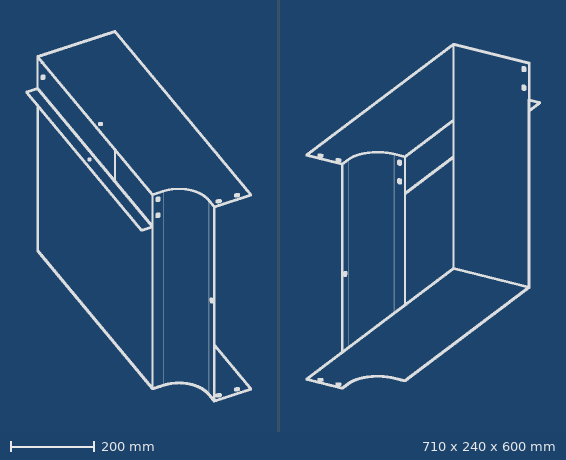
import cadquery as cq

length = 710.0
height = 600.0
depth = 240.0
sheet = 1.0

lip = 30.0
corner_radius = 80.0
front_y = lip
panel_end_x = length - lip - corner_radius
return_end_y = front_y + lip
flange_y = return_end_y + corner_radius

window_height = 99.0
panel_top_z = height - window_height

slot_length = 10.0
slot_width = 6.5
edge_offset = 15.0
side_slot_width = 8.0
first_hole_drop = 20.0
first_slot_offset = 20.0
hole_pitch = 50.0
top_hole_diameter = 7.0
shelf_hole_diameter = 5.0
cut_margin = 7.0


def box(x0, x1, y0, y1, z0, z1):
    return cq.Workplane("XY").box(x1 - x0, y1 - y0, z1 - z0, centered=False).translate((x0, y0, z0))


def plan_prism(inset, z0, z1):
    """Housing plan extruded in Z, with its walls inset and its back and right end left flush."""
    right_x = panel_end_x - inset
    radius = corner_radius + inset
    arc_center = (panel_end_x + corner_radius, return_end_y)
    arc_mid = (arc_center[0] - radius * 0.5**0.5, arc_center[1] + radius * 0.5**0.5)
    return (
        cq.Workplane("XY", origin=(0, 0, z0))
        .moveTo(inset, front_y + inset)
        .lineTo(right_x, front_y + inset)
        .lineTo(right_x, return_end_y)
        .threePointArc(arc_mid, (arc_center[0], flange_y + inset))
        .lineTo(length, flange_y + inset)
        .lineTo(length, depth)
        .lineTo(inset, depth)
        .close()
        .extrude(z1 - z0)
    )


def vertical_hole(x, y, diameter, z):
    return cq.Workplane("XY", origin=(x, y, z - cut_margin)).circle(diameter / 2).extrude(2 * cut_margin)


body = plan_prism(0, 0, height).cut(plan_prism(sheet, sheet, height - sheet))

window = box(
    sheet, panel_end_x - sheet, front_y - cut_margin, front_y + sheet, panel_top_z, height - sheet
)
shelf = box(0, panel_end_x, 0, front_y + sheet, panel_top_z - sheet, panel_top_z)
body = body.cut(window).union(shelf)

for slot_y in (flange_y + first_slot_offset, flange_y + first_slot_offset + hole_pitch):
    slot = (
        cq.Workplane("XY", origin=(length - edge_offset, slot_y, -cut_margin))
        .slot2D(slot_length, slot_width, 90)
        .extrude(height + 2 * cut_margin)
    )
    body = body.cut(slot)

for drop in (first_hole_drop, first_hole_drop + hole_pitch):
    side_slot = (
        cq.Workplane("YZ", origin=(-cut_margin, front_y + edge_offset, height - drop))
        .slot2D(slot_length, side_slot_width, 90)
        .extrude(panel_end_x + 2 * cut_margin)
    )
    body = body.cut(side_slot)

flange_slot = (
    cq.Workplane("XZ", origin=(length - edge_offset, flange_y + cut_margin, height / 2))
    .slot2D(slot_length, slot_width, 90)
    .extrude(2 * cut_margin)
)
body = body.cut(flange_slot)

body = body.cut(vertical_hole(panel_end_x / 2, front_y + edge_offset, top_hole_diameter, height))
body = body.cut(vertical_hole(panel_end_x / 2, front_y - edge_offset, shelf_hole_diameter, panel_top_z))

result = body